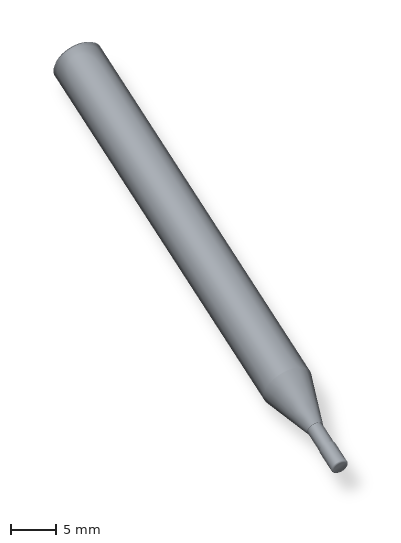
import cadquery as cq

total_length = 63.0
shank_diameter = 6.0
shank_radius = shank_diameter / 2
shank_chamfer = 0.3
shank_end = 50.45
neck_start = 57.0
tip_start = 60.0
neck_radius = 0.95
tip_radius = 1.0
tip_fillet = 0.2

profile = (
    cq.Workplane("XY")
    .moveTo(0, 0)
    .lineTo(0, shank_radius - shank_chamfer)
    .lineTo(shank_chamfer, shank_radius)
    .lineTo(shank_end, shank_radius)
    .lineTo(neck_start, tip_radius)
    .lineTo(neck_start, neck_radius)
    .lineTo(tip_start, neck_radius)
    .lineTo(tip_start, tip_radius)
    .lineTo(total_length, tip_radius)
    .lineTo(total_length, 0)
    .close()
)
blank = profile.revolve(360, (0, 0, 0), (1, 0, 0))

result = blank.faces(">X").edges().fillet(tip_fillet)